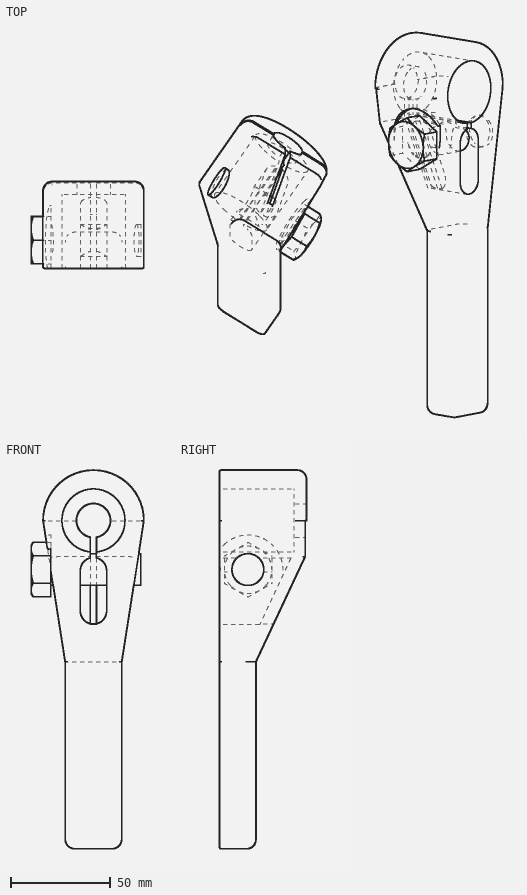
import cadquery as cq
import math

hub_radius = 25.4
hub_depth = 43.81
counterbore_diameter = 31.75
hub_floor = 6.35
bore_diameter = 17.0

arm_depth = 43.2
arm_slope_top_z = -18.0
handle_width = 28.575
handle_depth = 18.4
handle_top_z = -71.0
handle_bottom_z = -165.1

back_fillet = 4.76
front_fillet = 1.0
corner_radius = 5.0

slit_width = 3.0
slot_width = 13.2
slot_top_z = -18.6
slot_bottom_z = -52.1
pocket_wall = 6.35

bolt_y = 14.29
bolt_z = -24.65
bolt_diameter = 16.0
bolt_end_x = 23.8
head_across_flats = 23.81
head_outer_x = -31.39
seat_x = -21.35
seat_diameter = 35.0
head_chamfer_angle = 30.0

slope_run = arm_slope_top_z - handle_top_z
slope_depth_change = arm_depth - handle_depth
slope_length = math.hypot(slope_run, slope_depth_change)


def extrude_back(outline, depth):
    """Extrude an XZ outline from the front plane y = 0 back to y = depth."""
    return outline.extrude(-depth)


def make_hub():
    """Half-round hub, standing slightly behind the arm."""
    outline = (
        cq.Workplane("XZ")
        .moveTo(-hub_radius, 0)
        .threePointArc((0, hub_radius), (hub_radius, 0))
        .close()
    )
    hub = extrude_back(outline, hub_depth)
    hub = hub.faces(">Y").edges("%CIRCLE").fillet(back_fillet)
    return hub.faces("<Y").edges("%CIRCLE").fillet(front_fillet)


def round_arm_edges(section, front_edges):
    """Round the front edges, then the back edges, of one section of the arm."""
    section = section.faces("<Y").edges(front_edges).fillet(front_fillet)
    behind_front = cq.selectors.BoxSelector(
        (-hub_radius, handle_depth / 2, handle_bottom_z), (hub_radius, hub_depth, 0)
    )
    return section.edges(behind_front).edges("not(|X or |Y)").fillet(back_fillet)


def make_taper():
    """Upper section of the arm: narrows in width and, below the slope start, in depth."""
    outline = (
        cq.Workplane("XZ")
        .moveTo(-hub_radius, 0)
        .lineTo(hub_radius, 0)
        .lineTo(handle_width / 2, handle_top_z)
        .lineTo(-handle_width / 2, handle_top_z)
        .close()
    )
    side_shape = (
        cq.Workplane("YZ")
        .polyline([
            (0, 0),
            (arm_depth, 0),
            (arm_depth, arm_slope_top_z),
            (handle_depth, handle_top_z),
            (0, handle_top_z),
        ])
        .close()
        .extrude(hub_radius, both=True)
    )
    taper = extrude_back(outline, arm_depth).intersect(side_shape)
    return round_arm_edges(taper, "not |X")


def make_handle():
    """Straight lower section of the arm with rounded bottom corners."""
    handle_length = handle_top_z - handle_bottom_z
    outline = (
        cq.Workplane("XZ")
        .center(0, (handle_top_z + handle_bottom_z) / 2)
        .rect(handle_width, handle_length)
    )
    handle = extrude_back(outline, handle_depth)
    handle = handle.faces("<Z").edges("|Y").fillet(corner_radius)
    return round_arm_edges(handle, "not >Z")


def make_bore_cut():
    """Through bore with a deep counterbore from the front."""
    counterbore = extrude_back(
        cq.Workplane("XZ").circle(counterbore_diameter / 2), hub_depth - hub_floor
    )
    bore = extrude_back(cq.Workplane("XZ").circle(bore_diameter / 2), hub_depth)
    return counterbore.union(bore)


def make_slit_cut():
    """Slit through the full depth, from the bore down to where it meets the slot's round end."""
    slot_radius = slot_width / 2
    bottom_z = slot_bottom_z + slot_radius - math.sqrt(slot_radius**2 - (slit_width / 2) ** 2)
    outline = cq.Workplane("XZ").center(0, bottom_z / 2).rect(slit_width, -bottom_z)
    return extrude_back(outline, hub_depth)


def make_pocket_cut():
    """Round-ended pocket whose floor follows the back of the arm at the wall thickness."""
    height = slot_top_z - slot_bottom_z
    outline = (
        cq.Workplane("XZ")
        .center(0, (slot_top_z + slot_bottom_z) / 2)
        .slot2D(height, slot_width, 90)
    )
    slot = extrude_back(outline, arm_depth)
    floor_shift = pocket_wall * slope_length / slope_run
    side_shape = (
        cq.Workplane("YZ")
        .polyline([
            (0, arm_slope_top_z),
            (arm_depth - floor_shift, arm_slope_top_z),
            (handle_depth - floor_shift, handle_top_z),
            (0, handle_top_z),
        ])
        .close()
        .extrude(slot_width, both=True)
    )
    return slot.intersect(side_shape)


def bolt_plane(x):
    """Plane normal to +X on the bolt axis; local x runs along Y, local y along Z."""
    return cq.Workplane("YZ", origin=(x, bolt_y, bolt_z))


def make_seat_cut():
    """Flat round seat for the bolt head, cut into the tapered side."""
    return bolt_plane(seat_x).circle(seat_diameter / 2).extrude(-hub_radius)


def make_bolt():
    """Hexagon-head bolt with chamfered head corners."""
    head_sides = 6
    head_height = seat_x - head_outer_x
    across_corners = head_across_flats / math.cos(math.pi / head_sides)
    corner_height = (across_corners - head_across_flats) / 2
    hexagon = (
        bolt_plane(head_outer_x)
        .transformed(rotate=(0, 0, 90))
        .polygon(head_sides, across_corners)
        .extrude(head_height)
    )
    cap = (
        bolt_plane(head_outer_x)
        .circle(across_corners / 2)
        .extrude(head_height)
        .faces("<X")
        .chamfer(corner_height * math.tan(math.radians(head_chamfer_angle)), corner_height)
    )
    shank = bolt_plane(seat_x).circle(bolt_diameter / 2).extrude(bolt_end_x - seat_x)
    return hexagon.intersect(cap).union(shank)


body = make_hub().union(make_taper()).union(make_handle())
for cut in (make_bore_cut(), make_slit_cut(), make_pocket_cut(), make_seat_cut()):
    body = body.cut(cut)
result = body.union(make_bolt())